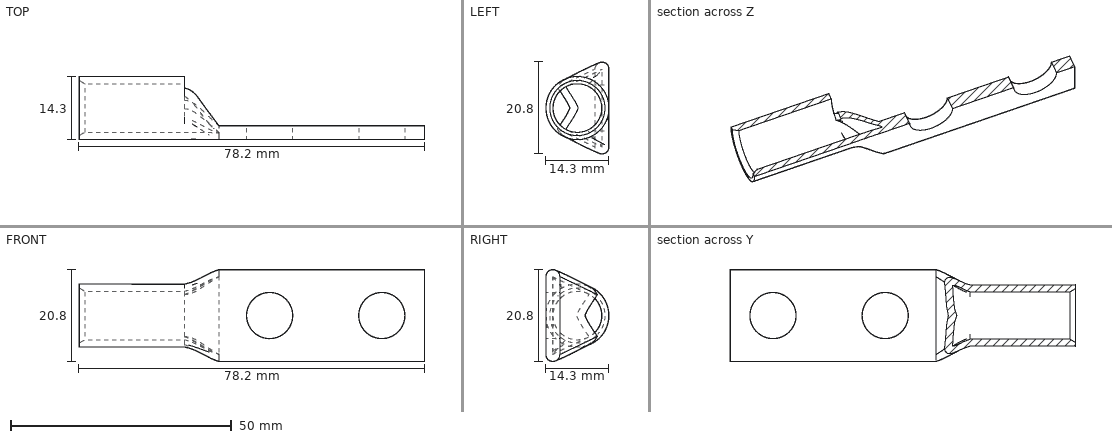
import cadquery as cq
import math


total_length = 78.23
barrel_radius = 7.15
wall = 1.65
pad_width = 20.83

barrel_length = 23.9
bore_radius = barrel_radius - wall
entry_radius = 6.25
entry_depth = 1.3

pad_start = 31.65
pad_thickness = 3.16
pad_edge_radius = pad_thickness / 2
hole_diameter = 10.4
hole_spacing = 25.4
end_to_hole = 9.7
pad_front = -barrel_radius
pad_back = pad_front + pad_thickness
pad_middle = (pad_front + pad_back) / 2

fold_half_angle = math.radians(31)
fold_tip = 1.66
fold_tip_half_width = 0.35
front_seam_angle = math.radians(-24)
back_seam_angle = math.radians(22)
lip_angle = math.radians(36)
lip_radius = 6.8
lip_end_half_width = 4.75
slit_thickness = 0.1
neck_steps = 4
front_points = 3
arc_bulge = math.sqrt(0.5)


def on_circle(radius, angle):
    """Point (y, z) at an angle measured from +Z toward +Y about the barrel axis."""
    return radius * math.sin(angle), radius * math.cos(angle)


def on_fold(tip, half_width):
    """Point (y, z) on the straight arm of a V whose sharp tip is at y = tip."""
    return tip + half_width * math.tan(fold_half_angle), half_width


def rounded_tip(tip):
    """Y where the rounded tip of the fold crosses Z = 0, as for an arc tangent to both arms."""
    drop = math.tan(fold_half_angle) - math.tan(fold_half_angle / 2)
    return tip + fold_tip_half_width * drop


def mix(start, end, share):
    return start + (end - start) * share


def section(x, half, front, tip):
    """Closed wire symmetric about Z = 0.

    half lists (y, z) points from the front arc to the fold: the front corner, then the middle
    and end of each arc, then the end of the straight arm of the fold.
    front and tip are the Y of the front face and of the rounded fold on the plane Z = 0.
    """
    def place(point, side=1):
        return cq.Vector(x, point[0], side * point[1])

    def arcs_of_half(side):
        arcs = []
        for first in range(0, len(half) - 2, 2):
            ends = [place(p, side) for p in half[first:first + 3]]
            arcs.append(cq.Edge.makeThreePointArc(*ends))
        return arcs

    corner = half[0]
    if math.isclose(corner[0], front):
        front_edge = cq.Edge.makeLine(place(corner, -1), place(corner))
    else:
        front_edge = cq.Edge.makeThreePointArc(place(corner, -1), place((front, 0)), place(corner))

    lip, arm_end = half[-2:]
    fold_points = [place(lip, -1), place(arm_end, -1), place((tip, 0)), place(arm_end), place(lip)]
    tangents = [fold_points[1] - fold_points[0], fold_points[4] - fold_points[3]]
    fold_edge = cq.Edge.makeSpline(fold_points, tangents=tangents)
    return cq.Wire.assembleEdges([front_edge, *arcs_of_half(1), fold_edge, *arcs_of_half(-1)])


def loft_neck(start_half, end_half, fronts, tips):
    """Loft between two like sections: the back lip and fold stay high longer than the front."""
    wires = []
    for step in range(neck_steps + 1):
        travel = step / neck_steps
        share = (travel + travel ** 2 * (3 - 2 * travel)) / 2
        back_share = travel ** 2 * (2 - travel)
        half = []
        for index, (first, last) in enumerate(zip(start_half, end_half)):
            point_share = share if index < front_points else back_share
            half.append((mix(first[0], last[0], point_share), mix(first[1], last[1], point_share)))
        front = mix(*fronts, share)
        tip = mix(*tips, back_share)
        x = mix(barrel_length, pad_start, travel)
        wires.append(section(x, half, front, tip))
    return cq.Workplane(obj=cq.Solid.makeLoft(wires))


def make_neck():
    flat_half_width = pad_width / 2 - pad_edge_radius
    corner = pad_edge_radius * arc_bulge
    start = [
        on_circle(barrel_radius, front_seam_angle),
        on_circle(barrel_radius, 0),
        on_circle(barrel_radius, back_seam_angle),
        on_circle(lip_radius, lip_angle),
        on_fold(fold_tip, lip_end_half_width),
        on_fold(fold_tip, fold_tip_half_width),
    ]
    end = [
        (pad_front, flat_half_width),
        (pad_middle - corner, flat_half_width + corner),
        (pad_middle, pad_width / 2),
        (pad_middle + corner, flat_half_width + corner),
        (pad_back, flat_half_width),
        (pad_back, fold_tip_half_width),
    ]
    return loft_neck(start, end, (pad_front, pad_front), (rounded_tip(fold_tip), pad_back))


def make_neck_cavity():
    inner_tip = fold_tip - wall / math.cos(fold_half_angle)
    offset = inner_tip * math.cos(fold_half_angle)
    along = math.sqrt(bore_radius ** 2 - offset ** 2) - inner_tip * math.sin(fold_half_angle)
    corner_width = along * math.cos(fold_half_angle)
    corner = on_fold(inner_tip, corner_width)
    corner_angle = math.atan2(corner[0], corner[1])
    start = [
        on_circle(bore_radius, front_seam_angle),
        on_circle(bore_radius, (front_seam_angle + corner_angle) / 2),
        corner,
        on_fold(inner_tip, fold_tip_half_width),
    ]
    slit_half_width = pad_width / 2 - wall
    slit_radius = slit_thickness / 2
    end = [
        (pad_middle - slit_radius, slit_half_width - slit_radius),
        (pad_middle, slit_half_width),
        (pad_middle + slit_radius, slit_half_width - slit_radius),
        (pad_middle + slit_radius, fold_tip_half_width),
    ]
    fronts = (-bore_radius, pad_middle - slit_radius)
    return loft_neck(start, end, fronts, (rounded_tip(inner_tip), pad_middle + slit_radius))


def make_barrel():
    return cq.Workplane("YZ").circle(barrel_radius).extrude(barrel_length)


def make_bore():
    """Bore through the barrel with a tapered wire entry."""
    return (
        cq.Workplane("XY")
        .moveTo(0, 0)
        .lineTo(0, entry_radius)
        .lineTo(entry_depth, bore_radius)
        .lineTo(barrel_length, bore_radius)
        .lineTo(barrel_length, 0)
        .close()
        .revolve(360, (0, 0, 0), (1, 0, 0))
    )


def make_pad():
    """Flat pad with fully rounded long edges and two bolt holes."""
    pad = (
        cq.Workplane("YZ", origin=(pad_start, pad_middle, 0))
        .slot2D(pad_width, pad_thickness, 90)
        .extrude(total_length - pad_start)
    )
    outer_hole = total_length - end_to_hole
    for x in (outer_hole - hole_spacing, outer_hole):
        hole = (
            cq.Workplane("XZ", origin=(x, pad_back, 0))
            .circle(hole_diameter / 2)
            .extrude(pad_thickness)
        )
        pad = pad.cut(hole)
    return pad


body = make_barrel().union(make_neck()).union(make_pad())
result = body.cut(make_bore()).cut(make_neck_cavity())